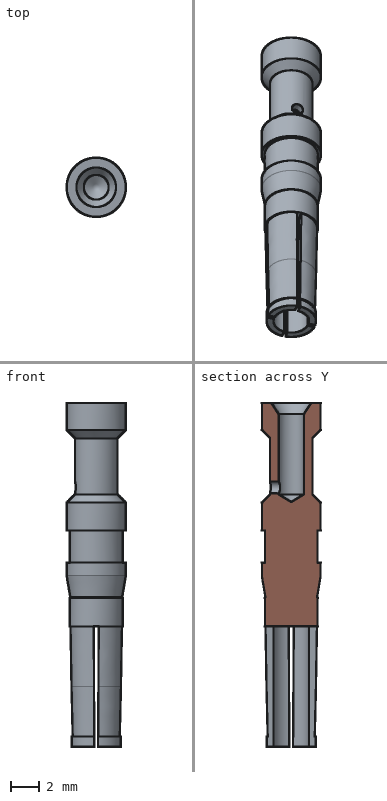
import cadquery as cq
import math

LENGTH = 24.25
COLLAR_DIAMETER = 4.2

NECK_DIAMETER = 3.0
HEAD_BOTTOM = 22.33
NECK_BOTTOM = 17.8
CRIMP_BORE_DIAMETER = 1.75
FUNNEL_DIAMETER = 2.8
FUNNEL_DEPTH = 0.8
DRILL_TIP_ANGLE = 118.0
SIGHT_HOLE_DIAMETER = 0.8
SIGHT_HOLE_HEIGHT = 18.28

BODY_DIAMETER = 3.75
GROOVE_TOP = 15.23
GROOVE_BOTTOM = 12.97
FLANGE_TAPER_TOP = 12.08
FLANGE_TAPER_BOTTOM = 10.57
FLANGE_TAPER_END_DIAMETER = 3.69
SHOULDER_HEIGHT = 10.5

SOCKET_TOP = 8.49
SOCKET_TOP_DIAMETER = 3.65
BEND_HEIGHT = 4.25
BEND_DIAMETER = 3.52
LIP_HEIGHT = 0.73
LIP_DIAMETER = 3.5
LIP_NECK_DIAMETER = 3.35
SOCKET_BORE_DIAMETER = 2.5
SLOT_TOP_WIDTH = 0.35
SLOT_BOTTOM_WIDTH = 0.25

NECK_STEP = (COLLAR_DIAMETER - NECK_DIAMETER) / 2


def revolve_outline(outline):
    """Turn (diameter, height) points into a solid of revolution about Z."""
    points = [(diameter / 2, height) for diameter, height in outline]
    axis_points = [(0, outline[-1][1]), (0, outline[0][1])]
    profile = cq.Workplane("XZ").polyline(points + axis_points).close()
    return profile.revolve(360, (0, 0), (0, 1))


def turned_body():
    return revolve_outline([
        (LIP_DIAMETER, 0),
        (LIP_DIAMETER, LIP_HEIGHT),
        (LIP_NECK_DIAMETER, LIP_HEIGHT),
        (BEND_DIAMETER, BEND_HEIGHT),
        (SOCKET_TOP_DIAMETER, SOCKET_TOP),
        (BODY_DIAMETER, SOCKET_TOP),
        (BODY_DIAMETER, SHOULDER_HEIGHT),
        (FLANGE_TAPER_END_DIAMETER, FLANGE_TAPER_BOTTOM),
        (COLLAR_DIAMETER, FLANGE_TAPER_TOP),
        (COLLAR_DIAMETER, GROOVE_BOTTOM),
        (BODY_DIAMETER, GROOVE_BOTTOM),
        (BODY_DIAMETER, GROOVE_TOP),
        (COLLAR_DIAMETER, GROOVE_TOP),
        (COLLAR_DIAMETER, NECK_BOTTOM - NECK_STEP),
        (NECK_DIAMETER, NECK_BOTTOM),
        (NECK_DIAMETER, HEAD_BOTTOM - NECK_STEP),
        (COLLAR_DIAMETER, HEAD_BOTTOM),
        (COLLAR_DIAMETER, LENGTH),
    ])


def crimp_bore():
    """Wire bore with a lead-in funnel and a drilled conical end."""
    tip_depth = CRIMP_BORE_DIAMETER / 2 / math.tan(math.radians(DRILL_TIP_ANGLE / 2))
    return revolve_outline([
        (0, NECK_BOTTOM - tip_depth),
        (CRIMP_BORE_DIAMETER, NECK_BOTTOM),
        (CRIMP_BORE_DIAMETER, LENGTH - FUNNEL_DEPTH),
        (FUNNEL_DIAMETER, LENGTH),
    ])


def sight_hole():
    """Hole from the -X side of the neck into the wire bore."""
    return (
        cq.Workplane("YZ")
        .center(0, SIGHT_HOLE_HEIGHT)
        .circle(SIGHT_HOLE_DIAMETER / 2)
        .extrude(-COLLAR_DIAMETER / 2)
    )


def socket_bore():
    return cq.Workplane("XY").circle(SOCKET_BORE_DIAMETER / 2).extrude(SOCKET_TOP)


def slot(plane):
    """Slot right across the socket, narrowing towards the tips of the tines."""
    outline = [
        (-SLOT_BOTTOM_WIDTH / 2, 0),
        (SLOT_BOTTOM_WIDTH / 2, 0),
        (SLOT_TOP_WIDTH / 2, SOCKET_TOP),
        (-SLOT_TOP_WIDTH / 2, SOCKET_TOP),
    ]
    profile = cq.Workplane(plane).polyline(outline).close()
    return profile.extrude(COLLAR_DIAMETER / 2, both=True)


result = turned_body().cut(crimp_bore()).cut(sight_hole()).cut(socket_bore())
for slot_plane in ("XZ", "YZ"):
    result = result.cut(slot(slot_plane))